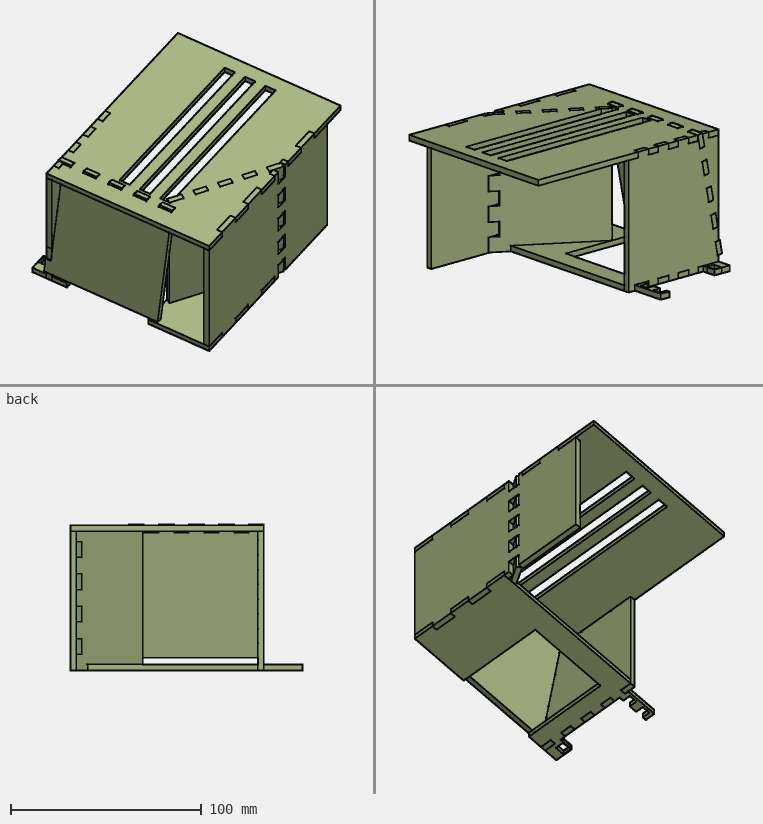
import cadquery as cq
import math


lid_length = 127.0
grid = lid_length / 10
sheet = 3.2
width = 8 * grid
height = 6 * grid
left_wall_depth = 5 * grid
right_wall_depth = 9 * grid
floor_depth = left_wall_depth
lid_underside = height - sheet
right_wall_inside = width - sheet

segment_count = 9
tab_growth = 0.1

vent_count = 3
vent_pitch = grid
vent_width = grid / 2
vent_length = 8 * grid
vent_left = 2.75 * grid
vent_front = 16.6

floor_rim = grid
floor_opening_right = 5 * grid
comb_back = 59.0
comb_depth = 6.2
comb_spine = 1.5
comb_step = 5.0
comb_end_tooth = 2.3
comb_gap_count = 2
comb_length = 1.6 * grid
latch_length = 8.8
latch_back = 10.9
latch_rim = 0.5
latch_hole_length = 5.8
latch_hole_depth = 4.9

slope_angle = 11.4
slope_size = 71.0
slope_overhang = 2.5
slope_top_z = 76.8
tilt = math.radians(slope_angle)
slope_top_y = slope_size * math.sin(tilt) - slope_overhang

diagonal_angle = 57.5
diagonal_left_x = floor_opening_right
diagonal_left_y = 18.1
lid_gap_count = 4


def block(x0, x1, y0, y1, z0, z1):
    """Box between two limits on each axis."""
    return cq.Workplane("XY").box(x1 - x0, y1 - y0, z1 - z0, centered=False).translate((x0, y0, z0))


def tab_spans(length, first):
    """Start and end of every second segment of an edge, grown for a tight fit but kept on the edge."""
    step = length / segment_count
    return [
        (max(i * step - tab_growth, 0), min((i + 1) * step + tab_growth, length))
        for i in range(first, segment_count, 2)
    ]


def gap_spans(length):
    """Start and end of each gap along an edge that has a tab at both ends."""
    tabs = tab_spans(length, 0)
    return [(tabs[i][1], tabs[i + 1][0]) for i in range(len(tabs) - 1)]


def edge_tabs(x0, x1, depth, z0, z1):
    """Joint tabs along a side wall whose front is at Y = 0, in the odd segments."""
    tabs = cq.Workplane("XY")
    for start, end in tab_spans(depth, 1):
        tabs = tabs.union(block(x0, x1, start, end, z0, z1))
    return tabs


left_lid_tabs = edge_tabs(0, sheet, left_wall_depth, lid_underside, height)
left_floor_tabs = edge_tabs(0, sheet, left_wall_depth, 0, sheet)
right_lid_tabs = edge_tabs(right_wall_inside, width, right_wall_depth, lid_underside, height)
right_floor_tabs = edge_tabs(right_wall_inside, width, right_wall_depth, 0, sheet)


def make_slope():
    """Square panel with tabs along its left and upper edges, tilted into place."""
    panel = block(0, slope_size, 0, sheet, -slope_size, 0)
    tab_length = (slope_top_z - lid_underside) / math.cos(tilt)
    for gap_start, gap_end in gap_spans(slope_size):
        panel = panel.cut(block(0, sheet, 0, sheet, -gap_end, -gap_start))
        panel = panel.cut(block(gap_start, gap_end, 0, sheet, -tab_length, 0))
    panel = panel.rotate((0, 0, 0), (1, 0, 0), -slope_angle)
    return panel.translate((0, slope_top_y, slope_top_z))


def lid_slots_for_slope():
    """Straight slots in the lid, long enough in Y to let the tilted tabs through."""
    front = slope_top_y - (slope_top_z - lid_underside) * math.tan(tilt)
    back = slope_top_y + sheet * math.cos(tilt)
    slots = cq.Workplane("XY")
    for start, end in tab_spans(slope_size, 0):
        slots = slots.union(block(start, end, front, back, lid_underside, height))
    return slots


slant = math.radians(diagonal_angle)
diagonal_front_x = diagonal_left_x + sheet * math.sin(slant)
diagonal_front_y = diagonal_left_y - sheet * math.cos(slant)
diagonal_length = (width - diagonal_front_x) / math.cos(slant)
diagonal_body = (right_wall_inside - diagonal_front_x) / math.cos(slant)


def make_diagonal():
    """Upright panel with tabs into the lid and fingers into the right wall."""
    panel = block(0, diagonal_length, 0, sheet, 0, height)
    for gap_start, gap_end in gap_spans(height):
        panel = panel.cut(block(diagonal_body, diagonal_length, 0, sheet, gap_start, gap_end))
    tab_step = left_wall_depth / segment_count
    gap_half = tab_step / 2 - tab_growth
    for i in range(lid_gap_count):
        middle = diagonal_length / 2 + (2 * i - lid_gap_count + 1) * tab_step
        panel = panel.cut(block(middle - gap_half, middle + gap_half, 0, sheet, lid_underside, height))
    panel = panel.rotate((0, 0, 0), (0, 0, 1), diagonal_angle)
    panel = panel.translate((diagonal_front_x, diagonal_front_y, 0))
    return panel.cut(block(0, width, 0, floor_depth, 0, sheet))


def wall_slots_for_diagonal():
    """Straight slots in the right wall around the slanted fingers."""
    front = diagonal_front_y + diagonal_body * math.sin(slant)
    back = diagonal_left_y + diagonal_length * math.sin(slant)
    slots = cq.Workplane("XY")
    for start, end in tab_spans(height, 0):
        slots = slots.union(block(right_wall_inside, width, front, back, start, end))
    return slots


def make_left_wall(slope):
    wall = block(0, sheet, 0, left_wall_depth, 0, lid_underside)
    return wall.union(left_lid_tabs).cut(left_floor_tabs).cut(slope)


def make_right_wall():
    wall = block(right_wall_inside, width, 0, right_wall_depth, 0, lid_underside)
    floor_edge = block(right_wall_inside, width, 0, floor_depth, 0, sheet)
    wall = wall.cut(floor_edge.cut(right_floor_tabs))
    return wall.union(right_lid_tabs).cut(wall_slots_for_diagonal())


def make_lid(diagonal):
    lid = block(0, width, 0, lid_length, lid_underside, height)
    for i in range(vent_count):
        left = vent_left + i * vent_pitch
        vent = block(left, left + vent_width, vent_front, vent_front + vent_length, lid_underside, height)
        lid = lid.cut(vent)
    lid = lid.cut(left_lid_tabs).cut(right_lid_tabs)
    return lid.cut(lid_slots_for_slope()).cut(diagonal)


def make_comb():
    comb = block(-comb_length, 0, comb_back - comb_depth, comb_back, 0, sheet)
    for i in range(comb_gap_count):
        left = -comb_length + comb_end_tooth + 2 * i * comb_step
        gap = block(left, left + comb_step, comb_back - comb_depth, comb_back - comb_spine, 0, sheet)
        comb = comb.cut(gap)
    return comb


def make_latch():
    latch = block(-latch_length, 0, 0, latch_back, 0, sheet)
    left = -latch_length + latch_rim
    back = latch_back - latch_rim
    hole = block(left, left + latch_hole_length, back - latch_hole_depth, back, 0, sheet)
    return latch.cut(hole)


def make_floor():
    plate = block(sheet, width, 0, floor_depth, 0, sheet)
    opening = block(floor_rim, floor_opening_right, 0, floor_depth - floor_rim, 0, sheet)
    plate = plate.cut(opening).union(left_floor_tabs).cut(right_floor_tabs)
    return plate.union(make_comb()).union(make_latch())


slope = make_slope()
diagonal = make_diagonal()
left_wall = make_left_wall(slope)
right_wall = make_right_wall()
lid = make_lid(diagonal)
floor = make_floor()

panels = [slope, diagonal, left_wall, right_wall, lid, floor]
result = cq.Compound.makeCompound([panel.solids().val() for panel in panels])